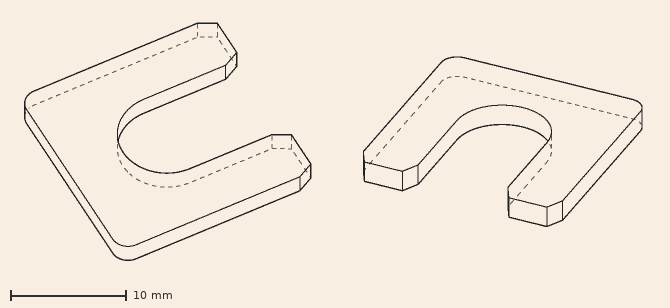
import cadquery as cq

side = 19.05
thickness = 2.0
slot_width = 8.6
corner_radius = 1.5
tip_bevel_length = 1.5
tip_bevel_width = 0.8

half_side = side / 2
slot_radius = slot_width / 2
arm_width = half_side - slot_radius
slot_center_y = -half_side + arm_width + slot_radius
bevel_start_y = half_side - tip_bevel_length


def make_plate():
    """Square plate with a round-bottomed slot open to +Y and bevelled arm tips."""
    return (
        cq.Workplane("XY")
        .moveTo(-half_side, -half_side)
        .lineTo(half_side, -half_side)
        .lineTo(half_side, bevel_start_y)
        .lineTo(half_side - tip_bevel_width, half_side)
        .lineTo(slot_radius + tip_bevel_width, half_side)
        .lineTo(slot_radius, bevel_start_y)
        .lineTo(slot_radius, slot_center_y)
        .threePointArc((0, slot_center_y - slot_radius), (-slot_radius, slot_center_y))
        .lineTo(-slot_radius, bevel_start_y)
        .lineTo(-slot_radius - tip_bevel_width, half_side)
        .lineTo(-half_side + tip_bevel_width, half_side)
        .lineTo(-half_side, bevel_start_y)
        .close()
        .extrude(thickness)
    )


result = make_plate().edges("|Z and <Y").fillet(corner_radius)